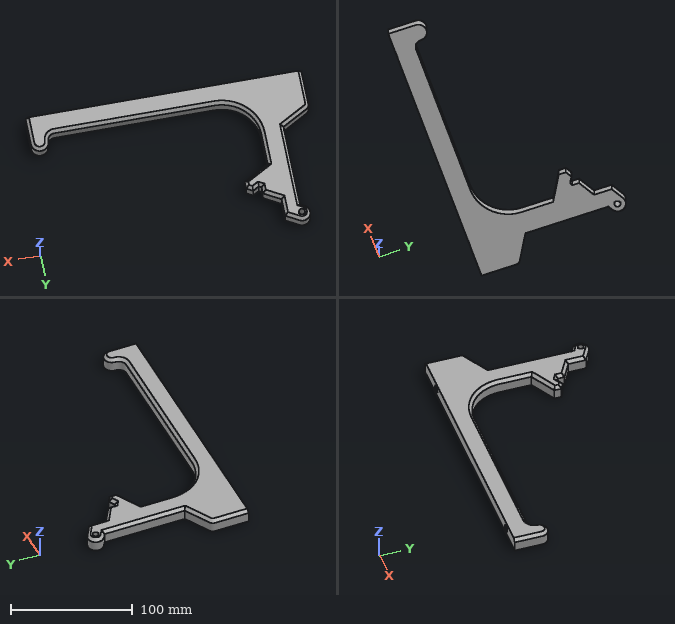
import cadquery as cq
import math

length = 230.5
thickness = 12.0
edge_chamfer = 2.8
slope_angle = math.radians(30)
slope = math.tan(slope_angle)

foot_corner_height = 33.0
foot_corner_radius = 5.0
arm_left = 24.0
arm_right = 43.0
inner_bend_radius = 33.0

bar_height = 17.0
stop_radius = 7.1
stop_height = 31.0

eye_y = 126.8
eye_radius = 7.0
eye_hole_diameter = 5.0

upper_step_x = 38.0
upper_step_y = 111.3
lower_step_x = 52.0
notch_start_y = 97.5
notch_x = 54.2
hook_peak_x = 59.5
hook_tip_x = 64.8
hook_tip_bottom_y = 90.1

mount_hole_diameter = 6.0
mount_hole_depth = 10.0
mount_hole_positions = (28.8, 208.5)
drill_half_angle = math.radians(59)


def after_slope(start_y, run, direction):
    """Height reached after a horizontal run along a 30 degree slope."""
    return start_y + direction * run * slope


def make_plate():
    eye_tangent_x = arm_left + eye_radius * math.sin(slope_angle)
    eye_tangent_y = eye_y + eye_radius * math.cos(slope_angle)
    eye_lower_tangent_x = 2 * arm_left - eye_tangent_x
    eye_lower_tangent_y = 2 * eye_y - eye_tangent_y
    eye_root_y = after_slope(eye_lower_tangent_y, arm_left - eye_lower_tangent_x, -1)
    upper_corner_y = after_slope(eye_tangent_y, upper_step_x - eye_tangent_x, -1)
    lower_corner_y = after_slope(upper_step_y, lower_step_x - upper_step_x, -1)
    notch_y = after_slope(notch_start_y, notch_x - lower_step_x, -1)
    hook_peak_y = after_slope(notch_y, hook_peak_x - notch_x, 1)
    hook_tip_top_y = after_slope(hook_peak_y, hook_tip_x - hook_peak_x, -1)
    arm_root_y = after_slope(hook_tip_bottom_y, hook_tip_x - arm_right, -1)

    stop_left = length - 2 * stop_radius
    stop_center_y = stop_height - stop_radius
    stop_fillet = stop_center_y - bar_height

    plate = (
        cq.Workplane("XY")
        .lineTo(0, foot_corner_height)
        .lineTo(arm_left, after_slope(foot_corner_height, arm_left, 1))
        .lineTo(arm_left, eye_root_y)
        .lineTo(eye_lower_tangent_x, eye_lower_tangent_y)
        .threePointArc((arm_left - eye_radius, eye_y), (eye_tangent_x, eye_tangent_y))
        .lineTo(upper_step_x, upper_corner_y)
        .lineTo(upper_step_x, upper_step_y)
        .lineTo(lower_step_x, lower_corner_y)
        .lineTo(lower_step_x, notch_start_y)
        .lineTo(notch_x, notch_y)
        .lineTo(hook_peak_x, hook_peak_y)
        .lineTo(hook_tip_x, hook_tip_top_y)
        .lineTo(hook_tip_x, hook_tip_bottom_y)
        .lineTo(arm_right, arm_root_y)
        .lineTo(arm_right, bar_height + inner_bend_radius)
        .radiusArc((arm_right + inner_bend_radius, bar_height), -inner_bend_radius)
        .lineTo(stop_left - stop_fillet, bar_height)
        .radiusArc((stop_left, stop_center_y), -stop_fillet)
        .threePointArc((length - stop_radius, stop_height), (length, stop_center_y))
        .lineTo(length, 0)
        .close()
        .extrude(thickness)
    )
    foot_corner = cq.selectors.NearestToPointSelector((0, foot_corner_height, thickness / 2))
    return plate.edges("|Z").edges(foot_corner).fillet(foot_corner_radius)


def make_mount_hole(x):
    """Drilled hole along Y with a conical bottom."""
    radius = mount_hole_diameter / 2
    tip_depth = mount_hole_depth + radius / math.tan(drill_half_angle)
    return (
        cq.Workplane("XY")
        .lineTo(radius, 0)
        .lineTo(radius, mount_hole_depth)
        .lineTo(0, tip_depth)
        .close()
        .revolve(360, (0, 0), (0, 1))
        .translate((x, 0, thickness / 2))
    )


result = make_plate().faces(">Z").edges("not <Y").chamfer(edge_chamfer)

eye_hole = cq.Workplane("XY").center(arm_left, eye_y).circle(eye_hole_diameter / 2).extrude(thickness)
result = result.cut(eye_hole)

for hole_x in mount_hole_positions:
    result = result.cut(make_mount_hole(hole_x))